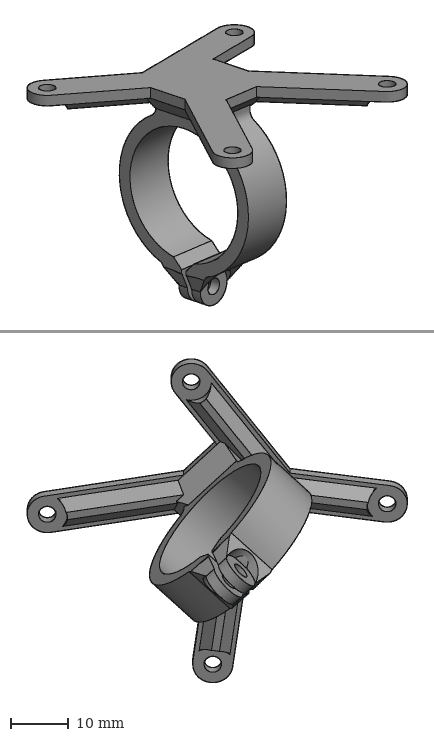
import cadquery as cq
import math

plate_thickness = 2.0
arm_radius = 3.5
hole_diameter = 3.0
hole_y = 20.25
hub_left, hub_right = -8.5, 8.85
hub_half_depth = 8.5
body_y = 0.2
arms = [
    ((0.0, 2.2), (25.0, hole_y)),
    ((0.0, -1.4), (25.0, -hole_y)),
    ((-4.5, -2.3), (-18.0, -hole_y)),
    ((-6.65, -4.5), (-10.5, hole_y)),
]

rib_height = 2.0
rib_bottom = -plate_thickness - rib_height
rib_half_width = 2.7
screw_clearance_radius = 3.5

bore_radius = 12.5
ring_radius = 15.0
ring_z = -20.0
ring_width = 10.0
half_width = ring_width / 2
neck_half_width = 6.5
neck_fillet = 2.0
pad_bottom = -plate_thickness - (hub_half_depth - half_width)

ear_radius = 3.5
ear_z = -38.0
ear_half_span = 2.5
gap = 1.0
shoulder_half_span = 5.2
shoulder_z = ring_z - math.sqrt(ring_radius**2 - shoulder_half_span**2)
taper_start_z = -34.75
mouth_half_width = 2.4
mouth_bottom = -34.15


def cylinder_y(radius):
    """Cylinder on the ring axis, as wide as the ring."""
    plane = cq.Workplane("XZ", origin=(0, half_width, ring_z))
    return plane.circle(radius).extrude(ring_width)


def cylinder_x(radius, x0, x1):
    """Cylinder on the clamp screw axis."""
    return cq.Workplane("YZ", origin=(x0, 0, ear_z)).circle(radius).extrude(x1 - x0)


def arm(root, tip):
    """Flat arm with a rounded tip, and a sloping rib that stops clear of the screw."""
    dx, dy = tip[0] - root[0], tip[1] - root[1]
    length = math.hypot(dx, dy)
    along = cq.Plane(origin=(*root, 0), xDir=(-dy, dx, 0), normal=(dx, dy, 0))
    flat = cq.Workplane(along).center(0, -plate_thickness / 2)
    flat = flat.rect(2 * arm_radius, plate_thickness).extrude(length)
    end = cq.Workplane("XY").center(*tip).circle(arm_radius).extrude(-plate_thickness)
    rib_bottom_half_width = rib_half_width - rib_height
    rib = cq.Workplane(along).polyline([
        (-rib_half_width, -plate_thickness),
        (rib_half_width, -plate_thickness),
        (rib_bottom_half_width, rib_bottom),
        (-rib_bottom_half_width, rib_bottom),
    ]).close().extrude(length)
    clearance = cq.Workplane("XY").center(*tip).circle(screw_clearance_radius).extrude(rib_bottom)
    return flat.union(end).union(rib.cut(clearance))


def hub():
    """Hub plate with front, back and right sides sloping inward below it down to the pad bottom."""
    plate = cq.Workplane("XY").center((hub_left + hub_right) / 2, 0)
    plate = plate.rect(hub_right - hub_left, 2 * hub_half_depth).extrude(-plate_thickness)
    drop = -plate_thickness - pad_bottom
    pad = cq.Workplane("YZ", origin=(-neck_half_width, 0, 0)).polyline([
        (-hub_half_depth, -plate_thickness),
        (hub_half_depth, -plate_thickness),
        (half_width, pad_bottom),
        (-half_width, pad_bottom),
    ]).close().extrude(hub_right + neck_half_width)
    right_slope = cq.Workplane("XZ", origin=(0, hub_half_depth, 0)).polyline([
        (hub_right, -plate_thickness),
        (hub_right, pad_bottom),
        (hub_right - drop, pad_bottom),
    ]).close().extrude(2 * hub_half_depth)
    return plate.union(pad.cut(right_slope))


def neck():
    """Block joining pad and ring, with a concave fillet onto the ring on both sides."""
    fillet_x = neck_half_width + neck_fillet
    fillet_z = ring_z + math.sqrt((ring_radius + neck_fillet)**2 - fillet_x**2)
    reach = ring_radius / (ring_radius + neck_fillet)
    tangent = (fillet_x * reach, ring_z + (fillet_z - ring_z) * reach)
    to_wall = math.pi
    to_ring = math.atan2(tangent[1] - fillet_z, tangent[0] - fillet_x) % (2 * math.pi)
    middle = (to_wall + to_ring) / 2
    mid_x = fillet_x + neck_fillet * math.cos(middle)
    mid_z = fillet_z + neck_fillet * math.sin(middle)
    return (
        cq.Workplane("XZ", origin=(0, half_width, 0))
        .moveTo(-neck_half_width, -plate_thickness)
        .lineTo(neck_half_width, -plate_thickness)
        .lineTo(neck_half_width, fillet_z)
        .threePointArc((mid_x, mid_z), tangent)
        .lineTo(0, ring_z)
        .lineTo(-tangent[0], tangent[1])
        .threePointArc((-mid_x, mid_z), (-neck_half_width, fillet_z))
        .close()
        .extrude(ring_width)
    )


def ears():
    """Tapered shoulder ending in a round lug, with a flat seat for the screw on each side."""
    shoulder = cq.Workplane("XZ", origin=(0, half_width, 0)).polyline([
        (0, ring_z),
        (-shoulder_half_span, shoulder_z),
        (-ear_half_span, ear_z),
        (ear_half_span, ear_z),
        (shoulder_half_span, shoulder_z),
    ]).close().extrude(ring_width)
    side_outline = cq.Workplane("YZ", origin=(-shoulder_half_span, 0, 0)).polyline([
        (-half_width, ring_z),
        (-half_width, taper_start_z),
        (-ear_radius, ear_z),
        (ear_radius, ear_z),
        (half_width, taper_start_z),
        (half_width, ring_z),
    ]).close().extrude(2 * shoulder_half_span)
    lugs = shoulder.intersect(side_outline)
    lugs = lugs.union(cylinder_x(ear_radius, -ear_half_span, ear_half_span))
    for outer in (-ring_radius, ring_radius):
        x0, x1 = sorted((outer, math.copysign(ear_half_span, outer)))
        lugs = lugs.cut(cylinder_x(ear_radius, x0, x1))
    return lugs


def split():
    """Clamping gap with a V-shaped mouth at the bore."""
    mouth_top = ring_z - math.sqrt(bore_radius**2 - mouth_half_width**2)
    return cq.Workplane("XZ", origin=(0, half_width, 0)).polyline([
        (-mouth_half_width, mouth_top),
        (-gap / 2, mouth_bottom),
        (-gap / 2, ear_z - 2 * ear_radius),
        (gap / 2, ear_z - 2 * ear_radius),
        (gap / 2, mouth_bottom),
        (mouth_half_width, mouth_top),
    ]).close().extrude(ring_width)


body = hub().union(neck()).union(cylinder_y(ring_radius)).union(ears())
body = body.cut(cylinder_y(bore_radius)).cut(split())
body = body.cut(cylinder_x(hole_diameter / 2, -ring_radius, ring_radius))

result = body.translate((0, body_y, 0))
for root, tip in arms:
    result = result.union(arm(root, tip))
screw_holes = cq.Workplane("XY").pushPoints([tip for _, tip in arms])
result = result.cut(screw_holes.circle(hole_diameter / 2).extrude(-plate_thickness))